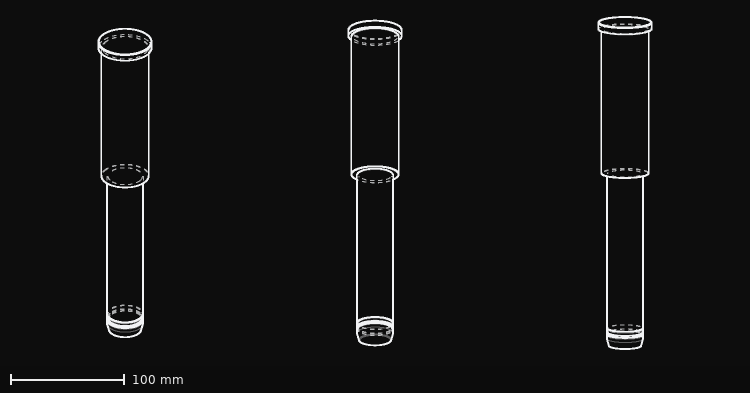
import cadquery as cq

total_length = 291.0
head_diameter = 47.0
body_diameter = 42.0
shank_diameter = 32.0
tip_diameter = 28.5

head_thickness = 6.0
body_bottom = 155.0
tip_length = 6.7

band_width = 3.8
land_width = 1.7

head_chamfer = 0.5
body_chamfer = 0.3
edge_radius = 1.0

lower_band_top = tip_length + band_width
upper_band_bottom = lower_band_top + land_width
upper_band_top = upper_band_bottom + band_width
head_bottom = total_length - head_thickness


def section(diameter, bottom, top):
    """Cylinder on the Z axis between two heights."""
    return cq.Workplane("XY").workplane(offset=bottom).circle(diameter / 2).extrude(top - bottom)


def round_end(solid, end):
    """Round the rim of the end face chosen by a face selector."""
    return solid.faces(end).edges().fillet(edge_radius)


def tapered_tip():
    """Conical lead-in with a rounded lower rim."""
    cone = (
        cq.Workplane("XY")
        .circle(tip_diameter / 2)
        .workplane(offset=tip_length)
        .circle(shank_diameter / 2)
        .loft(ruled=True)
    )
    return round_end(cone, "<Z")


lower_band = round_end(section(shank_diameter, tip_length, lower_band_top), ">Z")
land = section(shank_diameter, lower_band_top, upper_band_bottom)
upper_band = section(shank_diameter, upper_band_bottom, upper_band_top)
upper_band = round_end(round_end(upper_band, "<Z"), ">Z")
shank = round_end(section(shank_diameter, upper_band_top, body_bottom), ">Z")

body = section(body_diameter, body_bottom, head_bottom).faces("<Z").chamfer(body_chamfer)
body = round_end(body, ">Z")
head = section(head_diameter, head_bottom, total_length).faces(">Z").chamfer(head_chamfer)

result = tapered_tip()
for piece in (lower_band, land, upper_band, shank, body, head):
    result = result.union(piece)